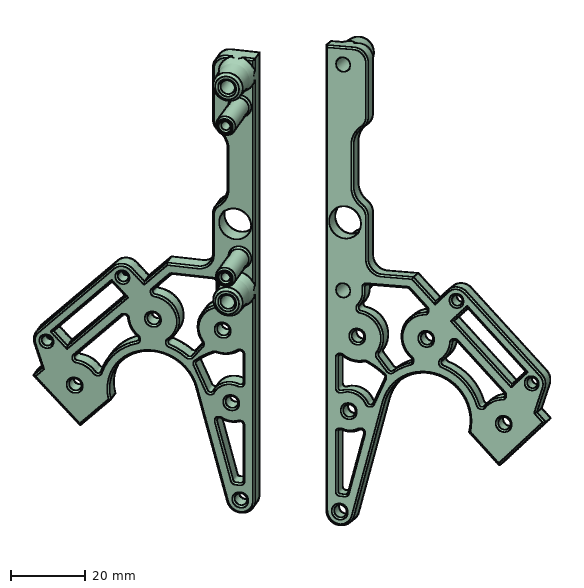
import cadquery as cq
import math


HEIGHT = 133.6
PLATE_THICKNESS = 5.5
EDGE_CHAMFER = 0.5
POCKET_FILLET = 0.8

ARCH = (-28.5, 32.2)
ARCH_RADIUS = 12.3
RIM_WIDTH = 3.2
RIM_RADIUS = ARCH_RADIUS + RIM_WIDTH
HOLE_CIRCLE_RADIUS = 21.9

TIP_RADIUS = 4.0
TIP_HOLE = (-TIP_RADIUS, TIP_RADIUS)
TOP_HOLE = (ARCH[0], ARCH[1] + HOLE_CIRCLE_RADIUS)
LEFT_HOLE = (ARCH[0] - HOLE_CIRCLE_RADIUS, ARCH[1])
RIGHT_HOLE = (ARCH[0] + HOLE_CIRCLE_RADIUS, ARCH[1])
UPPER_RIGHT_HOLE = (-9.0, 53.2)
SCREW_HOLE_DIAMETER = 3.5
LAND_RADIUS = 7.2
SMALL_LAND_RADIUS = 5.9

BLOCK_LOW_Q = 6.1
BLOCK_HIGH_Q = 24.7
BLOCK_END_P = -22.8
TAB_WIDTH = 3.6
STRAP_WIDTH = 3.2
STRAP_LOW_Q = BLOCK_HIGH_Q - STRAP_WIDTH
HOLE_P = HOLE_CIRCLE_RADIUS / math.sqrt(2)

BAR_MIDDLE_P = 2.4
BAR_HOLE_SPACING = 30.0
BAR_HOLE_Q = 29.5
BAR_HOLE_DIAMETER = 3.0
BAR_END_RADIUS = 3.7
SLOT_LENGTH = 23.1
SLOT_LOW_Q = 24.8
SLOT_HIGH_Q = 30.3

COLUMN_WIDTH = 11.9
NECK_WIDTH = 7.7
COLUMN_RADIUS = 4.0
NECK_RADIUS = 6.0
UPPER_SHOULDER_Z = 114.5
LOWER_SHOULDER_Z = 86.7
ARM_TOP_Z = 71.0
COLUMN_RIB = 3.3
BIG_HOLE = (-5.5, 84.7)
BIG_HOLE_DIAMETER = 9.0

STRUT_TOP_START = (-18.5, 43.5)
STRUT_TOP_END = (-14.2, 48.9)
STRUT_LOW_START = (-16.8, 42.6)
STRUT_LOW_MIDDLE = (-13.4, 45.2)
STRUT_LOW_END = (-9.9, 46.8)
RIM_CHORD_END = (-12.0, ARCH[1])
LEG_RIB = 3.3
LEG_POCKET_BOTTOM_Z = 8.8

TOTAL_DEPTH = 20.0
ROOT_DEPTH = PLATE_THICKNESS / 2
POSTS = [(-5.0, 128.7), (-5.0, 65.7)]
POST_LENGTH = 9.8
POST_BASE_DIAMETER = 10.3
POST_FLARE_DIAMETER = 8.8
POST_FLARE_LENGTH = 3.2
POST_TIP_DIAMETER = 8.3
POST_TIP_CHAMFER = 0.8
POST_HOLE_DIAMETER = 4.0
POST_LAND_RADIUS = 6.0
PINS = [(-4.1, 119.5), (-4.1, 75.1)]
PIN_DIAMETER = 5.5
PIN_BASE_DIAMETER = 6.4
PIN_BASE_LENGTH = 0.8
PIN_HOLE_DIAMETER = 2.5



def tilted(p, q):
    """Point at (p, q) in the tilted block."""
    return (ARCH[0] + (p - q) / math.sqrt(2), ARCH[1] + (p + q) / math.sqrt(2))


def tilted_at_height(q, z):
    """Point at height z on the 45 degree line of constant q."""
    return (ARCH[0] + z - ARCH[1] - q * math.sqrt(2), z)


def on_circle(centre, radius, degrees):
    angle = math.radians(degrees)
    return (centre[0] + radius * math.cos(angle), centre[1] + radius * math.sin(angle))


def direction(start, end):
    """Angle of the line from start to end, in degrees."""
    return math.degrees(math.atan2(end[1] - start[1], end[0] - start[0]))


def polygon_prism(corners):
    return cq.Workplane("XZ").polyline(corners).close().extrude(PLATE_THICKNESS)


def discs(centres, radius):
    return cq.Workplane("XZ").pushPoints(centres).circle(radius).extrude(PLATE_THICKNESS)


def rounded(pocket):
    return pocket.edges("|Y").fillet(POCKET_FILLET)


LOW_BAR_P = BAR_MIDDLE_P - BAR_HOLE_SPACING / 2
HIGH_BAR_P = BAR_MIDDLE_P + BAR_HOLE_SPACING / 2
LOW_BAR_HOLE = tilted(LOW_BAR_P, BAR_HOLE_Q)
HIGH_BAR_HOLE = tilted(HIGH_BAR_P, BAR_HOLE_Q)

LEG_TURN = math.degrees(math.acos((ARCH_RADIUS + TIP_RADIUS) / math.dist(ARCH, TIP_HOLE)))
LEG_NORMAL = direction(ARCH, TIP_HOLE) + LEG_TURN
LEG_TOP = on_circle(ARCH, ARCH_RADIUS, LEG_NORMAL)
LEG_BOTTOM = on_circle(TIP_HOLE, TIP_RADIUS, LEG_NORMAL + 180)



def shoulder(column_z, step):
    """Points of the S-curve from the column edge to the neck; step is +1 upwards, -1 downwards."""
    turn = math.acos(1 - (COLUMN_WIDTH - NECK_WIDTH) / (COLUMN_RADIUS + NECK_RADIUS))
    neck_z = column_z + step * (COLUMN_RADIUS + NECK_RADIUS) * math.sin(turn)
    column_centre = (-COLUMN_WIDTH + COLUMN_RADIUS, column_z)
    neck_centre = (-NECK_WIDTH - NECK_RADIUS, neck_z)
    degrees = step * math.degrees(turn)
    return [
        (-COLUMN_WIDTH, column_z),
        on_circle(column_centre, COLUMN_RADIUS, 180 - degrees / 2),
        on_circle(column_centre, COLUMN_RADIUS, 180 - degrees),
        on_circle(neck_centre, NECK_RADIUS, -degrees / 2),
        (-NECK_WIDTH, neck_z),
    ]


def plate_blank():
    arch_end_p = -math.sqrt(ARCH_RADIUS ** 2 - BLOCK_LOW_Q ** 2)
    tab_corner = tilted(BLOCK_END_P + TAB_WIDTH, BLOCK_HIGH_Q)
    tab_turn = math.degrees(math.acos(BAR_END_RADIUS / math.dist(LOW_BAR_HOLE, tab_corner)))
    tab_tangent = direction(LOW_BAR_HOLE, tab_corner) - tab_turn
    bar_top_q = BAR_HOLE_Q + BAR_END_RADIUS
    bar_end_p = HIGH_BAR_P + BAR_END_RADIUS
    arm_fillet = (-COLUMN_WIDTH - COLUMN_RADIUS, ARM_TOP_Z + COLUMN_RADIUS)
    top_fillet = (-COLUMN_WIDTH + COLUMN_RADIUS, HEIGHT - COLUMN_RADIUS)
    lower = shoulder(LOWER_SHOULDER_Z, 1)
    upper = shoulder(UPPER_SHOULDER_Z, -1)[::-1]
    return (
        cq.Workplane("XZ")
        .moveTo(0, TIP_RADIUS)
        .threePointArc(on_circle(TIP_HOLE, TIP_RADIUS, -90), LEG_BOTTOM)
        .lineTo(*LEG_TOP)
        .threePointArc(on_circle(ARCH, ARCH_RADIUS, 90), tilted(arch_end_p, BLOCK_LOW_Q))
        .lineTo(*tilted(BLOCK_END_P, BLOCK_LOW_Q))
        .lineTo(*tilted(BLOCK_END_P, BLOCK_HIGH_Q))
        .lineTo(*tab_corner)
        .lineTo(*on_circle(LOW_BAR_HOLE, BAR_END_RADIUS, tab_tangent))
        .threePointArc(on_circle(LOW_BAR_HOLE, BAR_END_RADIUS, 165), tilted(LOW_BAR_P, bar_top_q))
        .lineTo(*tilted(HIGH_BAR_P, bar_top_q))
        .threePointArc(on_circle(HIGH_BAR_HOLE, BAR_END_RADIUS, 90), tilted(bar_end_p, BAR_HOLE_Q))
        .lineTo(*tilted(bar_end_p, BLOCK_HIGH_Q))
        .lineTo(*tilted_at_height(BLOCK_HIGH_Q, ARM_TOP_Z))
        .lineTo(arm_fillet[0], ARM_TOP_Z)
        .threePointArc(on_circle(arm_fillet, COLUMN_RADIUS, -45), (-COLUMN_WIDTH, arm_fillet[1]))
        .lineTo(*lower[0])
        .threePointArc(lower[1], lower[2])
        .threePointArc(lower[3], lower[4])
        .lineTo(*upper[0])
        .threePointArc(upper[1], upper[2])
        .threePointArc(upper[3], upper[4])
        .lineTo(-COLUMN_WIDTH, top_fillet[1])
        .threePointArc(on_circle(top_fillet, COLUMN_RADIUS, 135), (top_fillet[0], HEIGHT))
        .lineTo(0, HEIGHT)
        .close()
        .extrude(PLATE_THICKNESS)
    )



def bar_slot():
    low_p = BAR_MIDDLE_P - SLOT_LENGTH / 2
    high_p = BAR_MIDDLE_P + SLOT_LENGTH / 2
    return polygon_prism([
        tilted(low_p, SLOT_LOW_Q),
        tilted(high_p, SLOT_LOW_Q),
        tilted(high_p, SLOT_HIGH_Q),
        tilted(low_p, SLOT_HIGH_Q),
    ])


def left_pocket():
    region = polygon_prism([
        ARCH,
        LEFT_HOLE,
        tilted(-HOLE_P, STRAP_LOW_Q),
        tilted(HOLE_P, STRAP_LOW_Q),
        TOP_HOLE,
    ])
    region = region.cut(discs([ARCH], RIM_RADIUS))
    return rounded(region.cut(discs([LEFT_HOLE, TOP_HOLE], LAND_RADIUS)))


def arm_pocket():
    lower_post = POSTS[1]
    ceiling_z = ARM_TOP_Z - STRAP_WIDTH
    region = polygon_prism([
        TOP_HOLE,
        tilted(HOLE_P, STRAP_LOW_Q),
        tilted_at_height(STRAP_LOW_Q, ceiling_z),
        (lower_post[0], ceiling_z),
        UPPER_RIGHT_HOLE,
        STRUT_TOP_END,
        STRUT_TOP_START,
        ARCH,
    ])
    region = region.cut(discs([ARCH], RIM_RADIUS))
    region = region.cut(discs([TOP_HOLE, UPPER_RIGHT_HOLE], LAND_RADIUS))
    return rounded(region.cut(discs([lower_post], POST_LAND_RADIUS)))


def middle_pocket():
    region = (
        cq.Workplane("XZ")
        .moveTo(*STRUT_LOW_START)
        .lineTo(*RIM_CHORD_END)
        .lineTo(-COLUMN_RIB, RIGHT_HOLE[1])
        .lineTo(-COLUMN_RIB, UPPER_RIGHT_HOLE[1])
        .lineTo(*STRUT_LOW_END)
        .threePointArc(STRUT_LOW_MIDDLE, STRUT_LOW_START)
        .close()
        .extrude(PLATE_THICKNESS)
    )
    region = region.cut(discs([RIGHT_HOLE], SMALL_LAND_RADIUS))
    return rounded(region.cut(discs([UPPER_RIGHT_HOLE], LAND_RADIUS)))


def inside_leg(z):
    """Point at height z on the line one rib width inside the leg edge."""
    start = on_circle(LEG_TOP, LEG_RIB, LEG_NORMAL)
    return (start[0] + (start[1] - z) * math.tan(math.radians(LEG_NORMAL)), z)


def leg_pocket():
    region = polygon_prism([
        inside_leg(RIGHT_HOLE[1] - SMALL_LAND_RADIUS / 2),
        inside_leg(LEG_POCKET_BOTTOM_Z),
        (-COLUMN_RIB, LEG_POCKET_BOTTOM_Z),
        (-COLUMN_RIB, RIGHT_HOLE[1]),
    ])
    return rounded(region.cut(discs([RIGHT_HOLE], SMALL_LAND_RADIUS)))


def plate():
    body = plate_blank()
    for pocket in (bar_slot(), left_pocket(), arm_pocket(), middle_pocket(), leg_pocket()):
        body = body.cut(pocket)
    screw_holes = [TIP_HOLE, TOP_HOLE, LEFT_HOLE, RIGHT_HOLE, UPPER_RIGHT_HOLE]
    body = body.cut(discs(screw_holes, SCREW_HOLE_DIAMETER / 2))
    body = body.cut(discs([LOW_BAR_HOLE, HIGH_BAR_HOLE], BAR_HOLE_DIAMETER / 2))
    body = body.faces("<Y or >Y").chamfer(EDGE_CHAMFER)
    return body.cut(discs([BIG_HOLE], BIG_HOLE_DIAMETER / 2))



def turned(profile, centre):
    """Revolve a closed profile of (radius, depth from the back face) points about centre."""
    points = [(radius, -depth) for radius, depth in profile]
    solid = cq.Workplane("XY").polyline(points).close().revolve(360, (0, 0, 0), (0, 1, 0))
    return solid.translate((centre[0], 0, centre[1]))


POST_END = PLATE_THICKNESS + POST_LENGTH


def post(centre):
    return turned([
        (0, ROOT_DEPTH),
        (POST_BASE_DIAMETER / 2, ROOT_DEPTH),
        (POST_BASE_DIAMETER / 2, PLATE_THICKNESS),
        (POST_FLARE_DIAMETER / 2, PLATE_THICKNESS + POST_FLARE_LENGTH),
        (POST_TIP_DIAMETER / 2, POST_END - POST_TIP_CHAMFER),
        (POST_TIP_DIAMETER / 2 - POST_TIP_CHAMFER, POST_END),
        (0, POST_END),
    ], centre)


def pin(centre):
    return turned([
        (0, ROOT_DEPTH),
        (PIN_BASE_DIAMETER / 2, ROOT_DEPTH),
        (PIN_BASE_DIAMETER / 2, PLATE_THICKNESS),
        (PIN_DIAMETER / 2, PLATE_THICKNESS + PIN_BASE_LENGTH),
        (PIN_DIAMETER / 2, TOTAL_DEPTH - EDGE_CHAMFER),
        (PIN_DIAMETER / 2 - EDGE_CHAMFER, TOTAL_DEPTH),
        (0, TOTAL_DEPTH),
    ], centre)


def bore(diameter, start, mouth, centre):
    """Hole from depth start to its countersunk mouth."""
    radius = diameter / 2
    return turned([
        (0, start),
        (radius, start),
        (radius, mouth - EDGE_CHAMFER),
        (radius + EDGE_CHAMFER, mouth),
        (0, mouth),
    ], centre)


result = plate()
for position in POSTS:
    result = result.union(post(position))
    result = result.cut(bore(POST_HOLE_DIAMETER, 0, POST_END, position))
for position in PINS:
    result = result.union(pin(position))
    result = result.cut(bore(PIN_HOLE_DIAMETER, PLATE_THICKNESS, TOTAL_DEPTH, position))

envelope = cq.Workplane("XY").box(HEIGHT, TOTAL_DEPTH, HEIGHT, centered=False)
result = result.intersect(envelope.translate((-HEIGHT, -TOTAL_DEPTH, 0)))